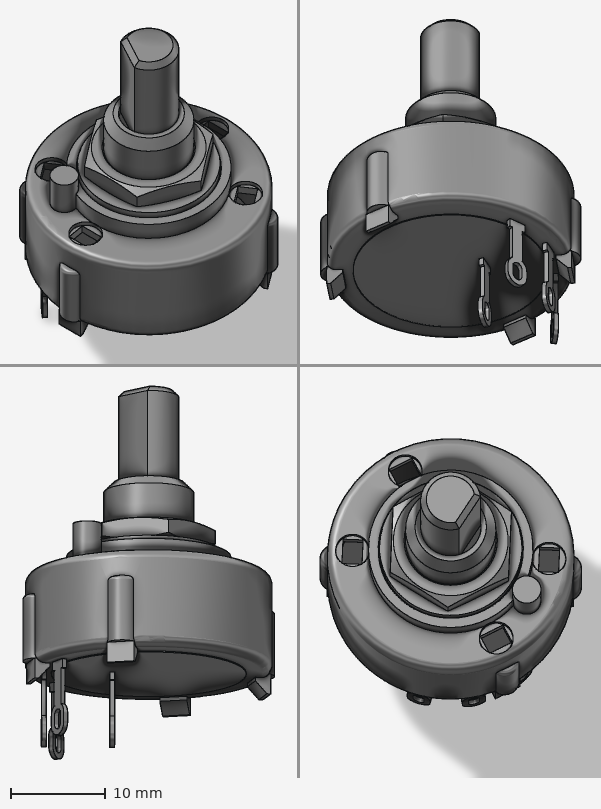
import cadquery as cq
import math


TOTAL_HEIGHT = 38.5
HOUSING_BOTTOM = 8.05
HOUSING_TOP = 18.55
FLANGE_TOP = 20.6
NUT_BOTTOM = 21.2
NUT_TOP = 23.52
PIN_TOP = 22.55
BUSHING_TOP = 28.53

HOUSING_DIAMETER = 26.0
HOUSING_FILLET = 1.0
FLANGE_DIAMETER = 17.32
BASE_PLATE_DIAMETER = 20.55
BASE_PLATE_HEIGHT = 0.1
HOUSING_WALL = 1.0

BUSHING_DIAMETER = 9.5
BUSHING_CHAMFER = 1.0
SHAFT_DIAMETER = 6.35
SHAFT_CHAMFER = 0.6
FLAT_OFFSET = 2.4
FLAT_RECESS = 1.0

PIN_DIAMETER = 3.0
PIN_OFFSET = 9.47

CLIP_ANGLES = [60, 120, 240, 300]
POST_DIAMETER = 3.08
POST_OFFSET = 12.25
POST_BOTTOM = 8.5
POST_TOP = 15.6
POST_FILLET = 0.5
HOOK_WIDTH = 2.93
HOOK_OUTER = 12.97
HOOK_TIP = 12.55
HOOK_INNER = 11.28
HOOK_BOTTOM = 6.35
HOOK_SLOPE_TOP = 7.65
WINDOW_DIAMETER = 3.55
WINDOW_OFFSET = 10.35
WINDOW_DEPTH = 0.5
SLOT_WIDTH = 2.7
SLOT_LENGTH = 2.1
SLOT_DEPTH = 0.92

TERMINAL_THICKNESS = 0.5
TERMINAL_ANGLE = 225
TERMINAL_PITCH = 30
OUTER_TERMINAL_OFFSET = 11.05
COMMON_TERMINAL_OFFSET = 3.85
TERMINAL_PLACES = [
    (OUTER_TERMINAL_OFFSET, TERMINAL_ANGLE - TERMINAL_PITCH),
    (OUTER_TERMINAL_OFFSET, TERMINAL_ANGLE),
    (OUTER_TERMINAL_OFFSET, TERMINAL_ANGLE + TERMINAL_PITCH),
    (COMMON_TERMINAL_OFFSET, TERMINAL_ANGLE),
]
EYE_WIDTH = 2.5
EYE_HEIGHT = 3.43
EYE_HOLE_WIDTH = 1.2
STEM_WIDTH = 1.3
SHOULDER_WIDTH = 2.0
SHOULDER_BOTTOM = 7.1

NUT_ACROSS_FLATS = 12.47
NUT_FACE_DIAMETER = 12.1
NUT_CORNER_DROP = 0.45
NUT_COUNTERSINK = 0.15
WASHER_DIAMETER = 15.0
WASHER_THICKNESS = 1.0
WASHER_BOTTOM = NUT_BOTTOM - WASHER_THICKNESS
WASHER_SEAT_DIAMETER = 15.3


def disc(diameter, bottom, top):
    """Cylinder on the Z axis between two heights."""
    return cq.Workplane("XY").workplane(offset=bottom).circle(diameter / 2).extrude(top - bottom)


def place(shape, radius, angle):
    """Move a shape out along X by a radius, then turn it about Z to a bearing."""
    return shape.translate((radius, 0, 0)).rotate((0, 0, 0), (0, 0, 1), angle)


def make_housing():
    """Round housing with a stepped base plate, a top flange and the seat for the washer."""
    drum = disc(HOUSING_DIAMETER, HOUSING_BOTTOM, HOUSING_TOP).edges().fillet(HOUSING_FILLET)
    base_plate = disc(BASE_PLATE_DIAMETER, HOUSING_BOTTOM - BASE_PLATE_HEIGHT, HOUSING_TOP)
    flange = disc(FLANGE_DIAMETER, HOUSING_BOTTOM, FLANGE_TOP)
    washer_seat = disc(WASHER_SEAT_DIAMETER, WASHER_BOTTOM, FLANGE_TOP)
    return drum.union(base_plate).union(flange).cut(washer_seat)


def make_bushing():
    """Bushing with a chamfered end."""
    bushing = disc(BUSHING_DIAMETER, HOUSING_TOP, BUSHING_TOP)
    return bushing.faces(">Z").chamfer(BUSHING_CHAMFER)


def make_flat_cutter():
    """Space on the -Y side of the shaft flat, inside the shaft's own circle."""
    bottom = BUSHING_TOP - FLAT_RECESS
    beyond_flat = cq.Workplane("XY").box(
        SHAFT_DIAMETER, SHAFT_DIAMETER, TOTAL_HEIGHT - bottom, centered=(True, False, False)
    ).translate((0, -FLAT_OFFSET - SHAFT_DIAMETER, bottom))
    return disc(SHAFT_DIAMETER, bottom, TOTAL_HEIGHT).intersect(beyond_flat)


def make_shaft():
    """D-shaft whose end chamfer follows both the round and the flat."""
    shaft = disc(SHAFT_DIAMETER, HOUSING_TOP, TOTAL_HEIGHT).cut(make_flat_cutter())
    return shaft.faces(">Z").chamfer(SHAFT_CHAMFER)


def make_pin():
    """Locating pin standing on the housing beside the flange."""
    return disc(PIN_DIAMETER, HOUSING_TOP, PIN_TOP).translate((0, -PIN_OFFSET, 0))


def make_clip():
    """Round post with a sloped snap hook below it, facing +X."""
    post = disc(POST_DIAMETER, POST_BOTTOM, POST_TOP).faces(">Z").edges().fillet(POST_FILLET)
    hook = (
        cq.Workplane("XZ")
        .polyline([
            (HOOK_OUTER, HOOK_BOTTOM),
            (HOOK_TIP, HOOK_BOTTOM),
            (HOOK_INNER, HOOK_SLOPE_TOP),
            (HOOK_INNER, POST_BOTTOM),
            (HOOK_OUTER, POST_BOTTOM),
        ])
        .close()
        .extrude(HOOK_WIDTH / 2, both=True)
    )
    return post.translate((POST_OFFSET, 0, 0)).union(hook)


def make_window():
    """Shallow round recess with a rectangular slot through its floor into the cavity."""
    floor = HOUSING_TOP - WINDOW_DEPTH
    recess = disc(WINDOW_DIAMETER, floor, HOUSING_TOP)
    slot = cq.Workplane("XY").box(
        SLOT_LENGTH, SLOT_WIDTH, WINDOW_DEPTH + SLOT_DEPTH, centered=(True, True, False)
    ).translate((0, 0, floor - SLOT_DEPTH))
    return recess.union(slot)


def make_cavity():
    """Round space inside the housing, under the windows."""
    floor = HOUSING_BOTTOM + HOUSING_WALL
    roof = HOUSING_TOP - WINDOW_DEPTH - SLOT_DEPTH
    return disc(HOUSING_DIAMETER - 2 * HOUSING_WALL, floor, roof)


def make_terminal():
    """Flat solder lug hanging below the housing, its broad face toward +X."""
    sheet = cq.Workplane("YZ")
    eye_middle = EYE_HEIGHT / 2
    eye_border = (EYE_WIDTH - EYE_HOLE_WIDTH) / 2
    half_thickness = TERMINAL_THICKNESS / 2

    def strip(width, bottom):
        height = HOUSING_BOTTOM + HOUSING_WALL - bottom
        outline = sheet.center(0, bottom + height / 2).rect(width, height)
        return outline.extrude(half_thickness, both=True)

    def slot(height, width):
        return sheet.center(0, eye_middle).slot2D(height, width, 90).extrude(half_thickness, both=True)

    lug = slot(EYE_HEIGHT, EYE_WIDTH).union(strip(STEM_WIDTH, eye_middle))
    lug = lug.union(strip(SHOULDER_WIDTH, SHOULDER_BOTTOM))
    return lug.cut(slot(EYE_HEIGHT - 2 * eye_border, EYE_HOLE_WIDTH))


def make_switch():
    """Hollow housing, bushing, shaft, pin, clips and terminals as one solid."""
    switch = make_housing().union(make_bushing()).cut(make_flat_cutter()).union(make_shaft())
    window = make_window()
    clip = make_clip()
    for angle in CLIP_ANGLES:
        switch = switch.cut(place(window, WINDOW_OFFSET, angle)).union(place(clip, 0, angle))
    switch = switch.cut(make_cavity())
    terminal = make_terminal()
    for radius, angle in TERMINAL_PLACES:
        switch = switch.union(place(terminal, radius, angle))
    return switch.union(make_pin())


def make_nut():
    """Hex nut, corners toward +Y and -Y, with a wider washer under it, bored to fit the bushing."""
    corner_radius = NUT_ACROSS_FLATS / math.sqrt(3)
    face_radius = NUT_FACE_DIAMETER / 2
    hexagon = (
        cq.Workplane("XY")
        .workplane(offset=NUT_BOTTOM)
        .polygon(6, 2 * corner_radius)
        .extrude(NUT_TOP - NUT_BOTTOM)
        .rotate((0, 0, 0), (0, 0, 1), 90)
    )
    corner_chamfer = (
        cq.Workplane("XZ")
        .polyline([
            (0, NUT_BOTTOM),
            (face_radius, NUT_BOTTOM),
            (corner_radius, NUT_BOTTOM + NUT_CORNER_DROP),
            (corner_radius, NUT_TOP - NUT_CORNER_DROP),
            (face_radius, NUT_TOP),
            (0, NUT_TOP),
        ])
        .close()
        .revolve(360, (0, 0, 0), (0, 1, 0))
    )
    nut = hexagon.intersect(corner_chamfer).union(disc(WASHER_DIAMETER, WASHER_BOTTOM, NUT_BOTTOM))
    nut = nut.cut(disc(BUSHING_DIAMETER, WASHER_BOTTOM, NUT_TOP))
    bore_rim = nut.edges("%CIRCLE").edges(">Z").edges(cq.selectors.RadiusNthSelector(0))
    return bore_rim.chamfer(NUT_COUNTERSINK)


switch = make_switch()
nut = make_nut()

result = cq.Compound.makeCompound([switch.solids().val(), nut.solids().val()])